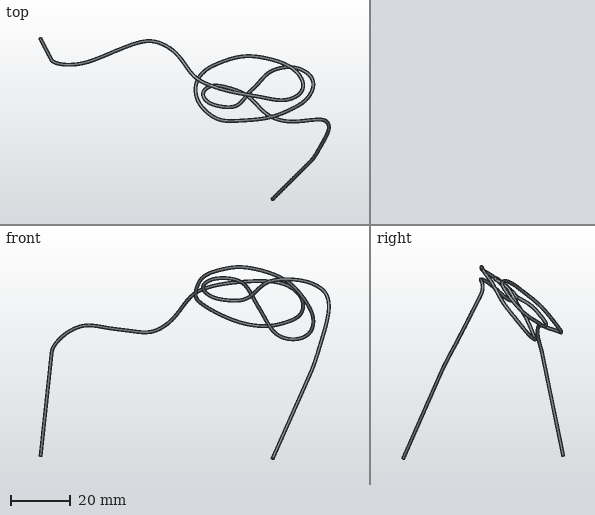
import cadquery as cq

CORD_DIAMETER = 1.0
CURVE_PIECES = 120

LEFT_LEG_TIP = (-48.4, 26.9, -31.3)
RIGHT_LEG_TIP = (29.5, -26.9, -32.2)
LEFT_LEG_TOP = (-44.7, 19.8, 3.4)
RIGHT_LEG_TOP = (42.3, -14.3, -3.5)

LEAD_IN = [
    (-43.2, 18.9, 6.7),
    (-40.1, 18.3, 9.7),
    (-34.2, 18.8, 12.4),
    (-26.4, 21.5, 11.8),
    (-17.6, 25.0, 10.7),
    (-11.7, 26.2, 10.4),
    (-5.9, 24.4, 13.1),
    (0.0, 18.5, 19.9),
    (3.9, 13.8, 23.7),
    (8.8, 11.3, 25.6),
]
FIRST_TURN = [
    (18.6, 8.6, 27.2),
    (26.4, 7.2, 27.5),
    (33.3, 6.4, 26.5),
    (38.1, 8.0, 23.5),
    (39.8, 11.2, 19.4),
    (38.5, 14.9, 15.85),
    (34.2, 18.2, 13.7),
    (29.4, 20.0, 12.5),
    (20.5, 21.1, 13.1),
    (11.7, 18.9, 16.3),
    (5.9, 15.4, 19.8),
    (3.9, 11.9, 21.8),
]
OUTER_TURN = [
    (3.8, 8.2, 24.4),
    (5.9, 4.0, 28.5),
    (11.7, -0.2, 31.2),
    (17.6, -0.6, 32.2),
    (23.5, -0.2, 31.6),
    (29.4, 0.8, 29.9),
    (35.2, 3.0, 26.8),
    (40.9, 6.7, 20.35),
    (43.2, 11.5, 14.1),
    (41.5, 15.3, 9.6),
    (36.2, 17.4, 7.9),
    (31.3, 16.9, 9.4),
    (26.4, 13.9, 16.0),
    (23.8, 11.0, 20.5),
]
INNER_LOOP = [
    (20.7, 7.8, 25.6),
    (17.6, 4.6, 27.8),
    (11.7, 4.3, 28.5),
    (7.4, 6.1, 27.2),
    (6.2, 8.4, 25.2),
    (8.8, 11.1, 22.4),
    (13.7, 10.8, 21.1),
    (20.5, 8.1, 21.5),
    (24.5, 4.6, 24.6),
]
LEAD_OUT = [
    (28.4, 1.2, 27.3),
    (33.3, -0.6, 28.1),
    (39.1, -0.7, 27.7),
    (44.0, -0.2, 26.1),
    (47.2, -0.5, 23.7),
    (48.3, -1.9, 20.7),
    (48.0, -4.7, 15.2),
    (45.5, -9.5, 5.9),
]


def points_as_vectors(points):
    return [cq.Vector(*point) for point in points]


def split(curve, count):
    """Cut a curve into `count` pieces of equal length, end to end."""
    cuts = [curve.paramAt(i / count) for i in range(count + 1)]
    return [curve.trim(start, end) for start, end in zip(cuts, cuts[1:])]


def cord_path():
    """The whole centreline: straight leg, curved stretch, straight leg."""
    left_tip, left_top, right_top, right_tip = points_as_vectors(
        [LEFT_LEG_TIP, LEFT_LEG_TOP, RIGHT_LEG_TOP, RIGHT_LEG_TIP]
    )
    bends = points_as_vectors(LEAD_IN + FIRST_TURN + OUTER_TURN + INNER_LOOP + LEAD_OUT)
    left_leg = cq.Edge.makeLine(left_tip, left_top)
    right_leg = cq.Edge.makeLine(right_top, right_tip)
    curve = cq.Edge.makeSpline(
        [left_top, *bends, right_top],
        tangents=[(left_top - left_tip).normalized(), (right_tip - right_top).normalized()],
        scale=False,
    )
    return cq.Wire.assembleEdges([left_leg, *split(curve, CURVE_PIECES), right_leg])


def cord(path):
    """A round section, square to the start of the path, carried along it."""
    start_plane = cq.Plane(origin=path.startPoint(), normal=path.tangentAt(0))
    return cq.Workplane(start_plane).circle(CORD_DIAMETER / 2).sweep(cq.Workplane(path))


result = cord(cord_path())